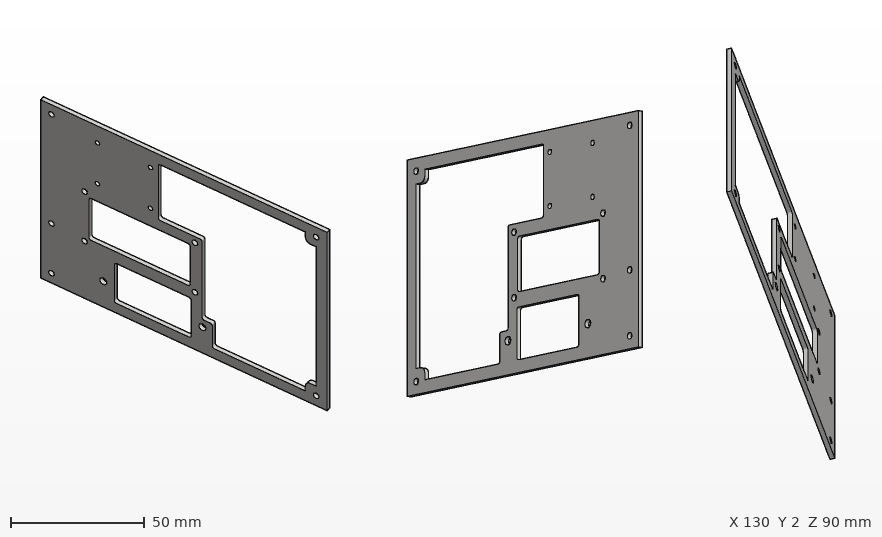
import cadquery as cq

length = 130.0
height = 90.0
thickness = 2.0
rim = 5.0
corner_radius = 1.0

opening_left = 53.4
opening_right = length - rim
opening_bottom = rim
opening_top = height - rim
upper_step_x = 73.3
upper_step_z = 57.0
lower_step_x = 78.0
lower_step_z = 16.9
tab_size = 5.0
tab_radius = 2.5

upper_window_center = (45.0, 41.3)
upper_window_size = (45.9, 21.0)
upper_window_hole_pitch = (50.0, 25.0)

lower_window_center_x = 51.0
lower_window_size = (34.8, 20.0)
side_hole_pitch = 45.0
side_hole_z = 13.0

small_pattern_center = (37.8, 71.1)
small_pattern_pitch = (24.0, 20.5)

screw_hole_diameter = 2.5
small_hole_diameter = 2.0
side_hole_diameter = 3.1

left_edge_hole_z = 30.0


def front_plane():
    """Sketch plane on the rear face, whose normal points toward -Y."""
    return cq.Workplane("XZ", origin=(0, thickness, 0))


def rectangle_points(center, pitch):
    """Corners of a rectangular hole pattern."""
    return [
        (center[0] + side_x * pitch[0] / 2, center[1] + side_z * pitch[1] / 2)
        for side_x in (-1, 1)
        for side_z in (-1, 1)
    ]


def holes(points, diameter):
    return front_plane().pushPoints(points).circle(diameter / 2).extrude(thickness)


def window(center, size):
    """Rectangular through cutout with rounded corners."""
    return front_plane().center(*center).rect(*size).extrude(thickness).edges("|Y").fillet(corner_radius)


def stepped_opening():
    outline = [
        (opening_left, opening_top),
        (opening_left, upper_step_z),
        (upper_step_x, upper_step_z),
        (upper_step_x, lower_step_z),
        (lower_step_x, lower_step_z),
        (lower_step_x, opening_bottom),
        (opening_right, opening_bottom),
        (opening_right, opening_top),
    ]
    body = front_plane().polyline(outline).close().extrude(thickness)
    stepped_side = cq.selectors.BoxSelector(
        (0, 0, 0),
        (lower_step_x + corner_radius, thickness, height),
    )
    body = body.edges("|Y").edges(stepped_side).fillet(corner_radius)
    return body.cut(screw_tab(opening_bottom, 1)).cut(screw_tab(opening_top, -1))


def screw_tab(corner_z, direction):
    """Tab filling a right-hand opening corner, rounded at its free corner."""
    tab_left = opening_right - tab_size
    tab_end = corner_z + direction * tab_size
    return (
        front_plane()
        .moveTo(opening_right, corner_z)
        .lineTo(tab_left, corner_z)
        .lineTo(tab_left, tab_end - direction * tab_radius)
        .radiusArc((tab_left + tab_radius, tab_end), direction * tab_radius)
        .lineTo(opening_right, tab_end)
        .close()
        .extrude(thickness)
    )


plate = cq.Workplane("XY").box(length, thickness, height, centered=False)

lower_window_center = (lower_window_center_x, rim + lower_window_size[1] / 2)
plate = plate.cut(stepped_opening())
plate = plate.cut(window(upper_window_center, upper_window_size))
plate = plate.cut(window(lower_window_center, lower_window_size))

plate_center = (length / 2, height / 2)
corner_pitch = (length - 2 * rim, height - 2 * rim)
screw_points = rectangle_points(plate_center, corner_pitch)
screw_points += rectangle_points(upper_window_center, upper_window_hole_pitch)
screw_points.append((rim, left_edge_hole_z))
small_points = rectangle_points(small_pattern_center, small_pattern_pitch)
side_points = [(lower_window_center_x + side * side_hole_pitch / 2, side_hole_z) for side in (-1, 1)]

plate = plate.cut(holes(screw_points, screw_hole_diameter))
plate = plate.cut(holes(small_points, small_hole_diameter))
plate = plate.cut(holes(side_points, side_hole_diameter))

result = plate